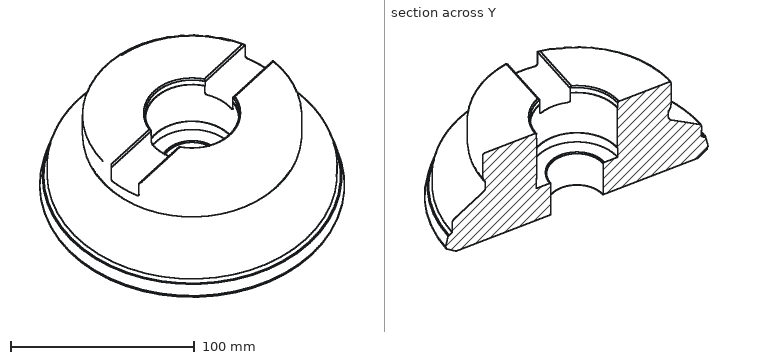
import cadquery as cq

HEIGHT = 63.0
RIM_DIAMETER = 166.0
SHOULDER_DIAMETER = 157.8
NECK_DIAMETER = 115.8
HUB_DIAMETER = 119.3

BASE_DIAMETER = 152.7
RIM_LOWER_DIAMETER = 164.6
RIM_BAND_DIAMETER = 165.0
RIM_TOP_DIAMETER = 163.0
LEDGE_DIAMETER = 161.5
BASE_CONE_TOP = 4.1
RIM_BAND_TOP = 4.8
RIM_WIDEST_BOTTOM = 6.0
RIM_WIDEST_TOP = 6.8
LEDGE_Z = 13.5
LEDGE_BEND_DIAMETER = 159.3
LEDGE_BEND_Z = 14.3
LEDGE_CHAMFER_TOP = 15.0

SHOULDER_Z = 23.2
NECK_BOTTOM = 36.2
NECK_TOP = 41.8
HUB_UNDERCUT_DIAMETER = 117.5
HUB_UNDERCUT_Z = 43.0
HUB_BEND_DIAMETER = 118.7
HUB_BEND_Z = 44.1
HUB_BOTTOM = 46.3
SHOULDER_FILLET = 3.0
NECK_FILLET = 3.2
HUB_FILLET = 1.7

BORE_DIAMETER = 50.8
BORE_RELIEF_DIAMETER = 51.1
BORE_MOUTH_DIAMETER = 52.8
BORE_RELIEF_DEPTH = 4.3
BORE_FIT_END_DEPTH = 33.2
BORE_DEPTH = 39.8
THROUGH_DIAMETER = 33.0
THROUGH_CHAMFER = 0.7

SLOT_WIDTH = 19.3
SLOT_DEPTH = 11.0
SLOT_CHAMFER = 1.0
SLOT_FILLET = 1.3


def revolve_profile(points):
    """Revolve a closed outline of (diameter, z) points about the Z axis."""
    outline = [(diameter / 2, z) for diameter, z in points]
    return cq.Workplane("XZ").polyline(outline).close().revolve(360, (0, 0, 0), (0, 1, 0))


def fillet_circle(solid, diameter, z, radius):
    """Round the circular edge of the given diameter at height z."""
    tolerance = 0.08
    reach = diameter / 2 + tolerance
    selector = cq.selectors.BoxSelector(
        (-reach, -reach, z - tolerance), (reach, reach, z + tolerance), boundingbox=True
    )
    return solid.edges(selector).fillet(radius)


def make_body():
    body = revolve_profile([
        (0, 0),
        (BASE_DIAMETER, 0),
        (RIM_LOWER_DIAMETER, BASE_CONE_TOP),
        (RIM_BAND_DIAMETER, RIM_BAND_TOP),
        (RIM_DIAMETER, RIM_WIDEST_BOTTOM),
        (RIM_DIAMETER, RIM_WIDEST_TOP),
        (RIM_TOP_DIAMETER, LEDGE_Z),
        (LEDGE_DIAMETER, LEDGE_Z),
        (LEDGE_BEND_DIAMETER, LEDGE_BEND_Z),
        (SHOULDER_DIAMETER, LEDGE_CHAMFER_TOP),
        (SHOULDER_DIAMETER, SHOULDER_Z),
        (NECK_DIAMETER, NECK_BOTTOM),
        (NECK_DIAMETER, NECK_TOP),
        (HUB_UNDERCUT_DIAMETER, HUB_UNDERCUT_Z),
        (HUB_BEND_DIAMETER, HUB_BEND_Z),
        (HUB_DIAMETER, HUB_BOTTOM),
        (HUB_DIAMETER, HEIGHT),
        (0, HEIGHT),
    ])
    body = fillet_circle(body, SHOULDER_DIAMETER, SHOULDER_Z, SHOULDER_FILLET)
    body = fillet_circle(body, NECK_DIAMETER, NECK_BOTTOM, NECK_FILLET)
    return fillet_circle(body, HUB_DIAMETER, HEIGHT, HUB_FILLET)


def make_bore():
    floor_z = HEIGHT - BORE_DEPTH
    fit_bottom = HEIGHT - BORE_FIT_END_DEPTH
    fit_top = HEIGHT - BORE_RELIEF_DEPTH
    mouth_chamfer = (BORE_MOUTH_DIAMETER - BORE_RELIEF_DIAMETER) / 2
    return revolve_profile([
        (0, 0),
        (THROUGH_DIAMETER, 0),
        (THROUGH_DIAMETER, floor_z - THROUGH_CHAMFER),
        (THROUGH_DIAMETER + 2 * THROUGH_CHAMFER, floor_z),
        (BORE_RELIEF_DIAMETER, floor_z),
        (BORE_RELIEF_DIAMETER, fit_bottom),
        (BORE_DIAMETER, fit_bottom),
        (BORE_DIAMETER, fit_top),
        (BORE_RELIEF_DIAMETER, fit_top),
        (BORE_RELIEF_DIAMETER, HEIGHT - mouth_chamfer),
        (BORE_MOUTH_DIAMETER, HEIGHT),
        (0, HEIGHT),
    ])


def make_slot():
    half_width = SLOT_WIDTH / 2
    mouth_half_width = half_width + SLOT_CHAMFER
    channel = (
        cq.Workplane("XZ")
        .polyline([
            (-half_width, HEIGHT - SLOT_DEPTH),
            (half_width, HEIGHT - SLOT_DEPTH),
            (half_width, HEIGHT - SLOT_CHAMFER),
            (mouth_half_width, HEIGHT),
            (-mouth_half_width, HEIGHT),
            (-half_width, HEIGHT - SLOT_CHAMFER),
        ])
        .close()
        .extrude(RIM_DIAMETER / 2, both=True)
    )
    return channel.faces("<Z").edges("|Y").fillet(SLOT_FILLET)


result = make_body().cut(make_slot()).cut(make_bore())